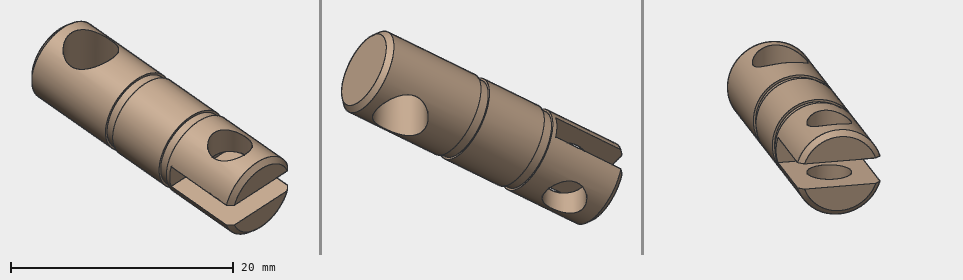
import cadquery as cq

length = 26.0
body_diameter = 8.0
end_chamfer = 0.5

groove_diameter = 7.6
groove_width = 0.94
groove_starts = (10.04, 16.98)

large_hole_diameter = 5.0
large_hole_x = 4.0
small_hole_diameter = 4.0
small_hole_x = 22.0

slot_start = 18.35
slot_height = 2.4


def make_body():
    """Round bar with both ends chamfered."""
    bar = cq.Workplane("YZ").circle(body_diameter / 2).extrude(length)
    return bar.faces("<X or >X").chamfer(end_chamfer)


def groove_ring(start):
    """Ring of material removed by one groove."""
    return (
        cq.Workplane("YZ", origin=(start, 0, 0))
        .circle(body_diameter / 2)
        .circle(groove_diameter / 2)
        .extrude(groove_width)
    )


def cross_hole(x, diameter):
    """Vertical cylinder passing through the whole body."""
    return (
        cq.Workplane("XY", origin=(x, 0, 0))
        .circle(diameter / 2)
        .extrude(body_diameter, both=True)
    )


def end_slot():
    """Block removed between the two tongues of the forked end."""
    return cq.Workplane("XY", origin=(slot_start, 0, 0)).box(
        length - slot_start, body_diameter, slot_height, centered=(False, True, True)
    )


result = make_body()
for groove_start in groove_starts:
    result = result.cut(groove_ring(groove_start))
result = result.cut(cross_hole(large_hole_x, large_hole_diameter))
result = result.cut(cross_hole(small_hole_x, small_hole_diameter))
result = result.cut(end_slot())